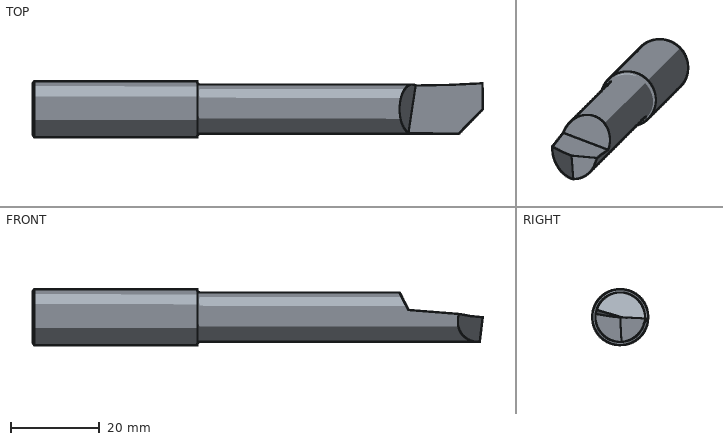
import cadquery as cq
import math

length = 101.6
shank_length = 37.2
shank_radius = 6.35
neck_radius = 5.6
chamfer_length = 0.4
chamfer_depth = 0.6
root_fillet = 0.5

wall_x = 85.6
wall_angle = 27.0
floor_twist_wall = 16.5
floor_twist_end = 3.0
tip_reach = 6.0
tip_root_reach = 5.5
end_relief = 7.0
lead_angle = 45.0

clearance = 20.3
overrun = 1.0


def bar():
    profile = (
        cq.Workplane("XY")
        .lineTo(0, shank_radius - chamfer_depth)
        .lineTo(chamfer_length, shank_radius)
        .lineTo(shank_length, shank_radius)
        .lineTo(shank_length, neck_radius + root_fillet)
        .radiusArc((shank_length + root_fillet, neck_radius), -root_fillet)
        .lineTo(length, neck_radius)
        .lineTo(length, 0)
        .close()
    )
    return profile.revolve(360, (0, 0, 0), (1, 0, 0))


def tip_rib():
    """Side rib growing out to the cutting tip, its flank tangent to the neck at the free end."""
    tangent_angle = math.acos(neck_radius / tip_reach)
    flank_foot = (neck_radius * math.cos(tangent_angle), -neck_radius * math.sin(tangent_angle))
    return (
        cq.Workplane("YZ", origin=(wall_x, 0, 0))
        .polyline([(0, 0), flank_foot, (tip_root_reach, 0)]).close()
        .workplane(offset=length - wall_x)
        .polyline([(0, 0), flank_foot, (tip_reach, 0)]).close()
        .loft(ruled=True, combine=True)
    )


def head_relief():
    """Space above the twisted floor and ahead of the leaning wall."""
    slope_wall = math.tan(math.radians(floor_twist_wall))
    slope_end = math.tan(math.radians(floor_twist_end))
    slope_rate = (slope_end - slope_wall) / (length - wall_x)

    def section(x):
        drop = clearance * (slope_wall + slope_rate * (x - wall_x))
        return [(-clearance, drop), (clearance, -drop), (clearance, clearance), (-clearance, clearance)]

    start_x = wall_x - neck_radius
    end_x = length + overrun
    above_floor = (
        cq.Workplane("YZ", origin=(start_x, 0, 0))
        .polyline(section(start_x)).close()
        .workplane(offset=end_x - start_x)
        .polyline(section(end_x)).close()
        .loft(ruled=True, combine=True)
    )
    lean = clearance * math.tan(math.radians(wall_angle))
    far_x = length + clearance
    ahead_of_wall = (
        cq.Workplane("XZ")
        .polyline([
            (wall_x - lean, clearance),
            (wall_x + lean, -clearance),
            (far_x, -clearance),
            (far_x, clearance),
        ])
        .close()
        .extrude(clearance, both=True)
    )
    return above_floor.intersect(ahead_of_wall)


def end_cutter(yaw):
    """Block whose undercut face passes through the end of the bar axis."""
    return (
        cq.Workplane("XY")
        .box(clearance, 2 * clearance, 2 * clearance, centered=(False, True, True))
        .rotate((0, 0, 0), (0, 1, 0), end_relief)
        .rotate((0, 0, 0), (0, 0, 1), yaw)
        .translate((length, 0, 0))
    )


result = bar().union(tip_rib()).cut(head_relief())
for face_yaw in (0, -lead_angle):
    result = result.cut(end_cutter(face_yaw))